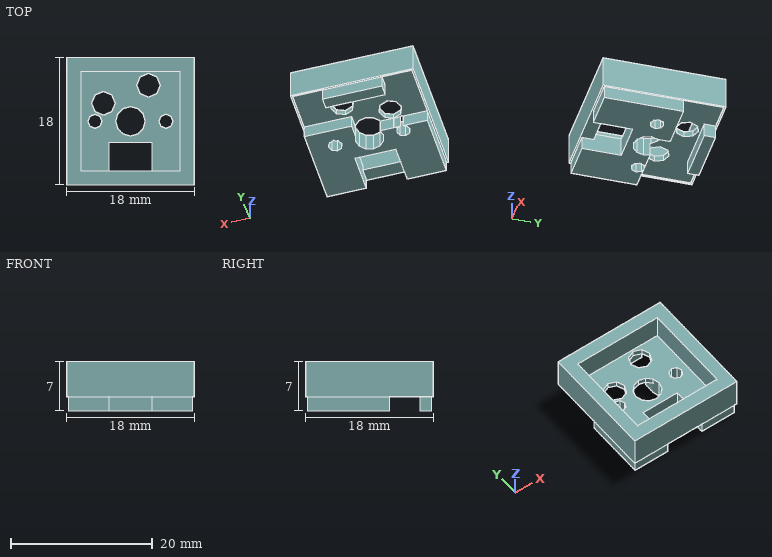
import cadquery as cq

tray_side = 18.0
tray_height = 5.0
pocket_side = 14.0
plate_thickness = 1.0

base_side = 17.5
base_height = 2.0

centre_hole_radius = 2.05
centre_hole_sides = 12
pin_hole_radius = 1.65
peg_hole_radius = 0.975
small_hole_sides = 8
pin_hole_centres = [(-3.81, 2.54), (2.54, 5.08)]
peg_hole_offset = 5.0

window_width = 6.0
window_back_y = -3.0

channel_left_front_y = 0.9
channel_right_front_y = 2.83
channel_back_y = 7.09
channel_step_x = 1.79
channel_depth = 2.1

back_wall_width = 8.72

floor_top = base_height + plate_thickness
pocket_half = pocket_side / 2
base_half = base_side / 2


def block(x_range, y_range, z_range):
    """Axis-aligned box spanning the given (low, high) ranges."""
    x0, x1 = x_range
    y0, y1 = y_range
    z0, z1 = z_range
    return cq.Workplane("XY").box(x1 - x0, y1 - y0, z1 - z0, centered=False).translate((x0, y0, z0))


def polygon_hole(centre, radius, sides):
    """Vertical prism that cuts through the plate and the base."""
    return cq.Workplane("XY").center(*centre).polygon(sides, 2 * radius).extrude(floor_top)


def make_tray():
    frame = cq.Workplane("XY").workplane(offset=base_height).rect(tray_side, tray_side).extrude(tray_height)
    pocket_depth = tray_height - plate_thickness
    pocket = cq.Workplane("XY").workplane(offset=floor_top).rect(pocket_side, pocket_side).extrude(pocket_depth)
    return frame.cut(pocket)


def make_base():
    return cq.Workplane("XY").rect(base_side, base_side).extrude(base_height)


def make_channel():
    """Stepped channel, leaving only the middle of the back wall."""
    z_range = (0, channel_depth)
    wall_half = back_wall_width / 2
    left = block((-base_half, channel_step_x), (channel_left_front_y, channel_back_y), z_range)
    right = block((channel_step_x, base_half), (channel_right_front_y, channel_back_y), z_range)
    channel = left.union(right)
    for x_range in ((-base_half, -wall_half), (wall_half, base_half)):
        channel = channel.union(block(x_range, (channel_back_y, base_half), z_range))
    return channel


def make_window():
    x_range = (-window_width / 2, window_width / 2)
    through_plate = block(x_range, (-pocket_half, window_back_y), (0, floor_top))
    through_base = block(x_range, (-base_half, window_back_y), (0, base_height))
    return through_plate.union(through_base)


def cut_holes(body):
    body = body.cut(polygon_hole((0, 0), centre_hole_radius, centre_hole_sides))
    for centre in pin_hole_centres:
        body = body.cut(polygon_hole(centre, pin_hole_radius, small_hole_sides))
    for side in (-1, 1):
        body = body.cut(polygon_hole((side * peg_hole_offset, 0), peg_hole_radius, small_hole_sides))
    return body


body = make_tray().union(make_base())
body = body.cut(make_channel()).cut(make_window())
result = cut_holes(body)